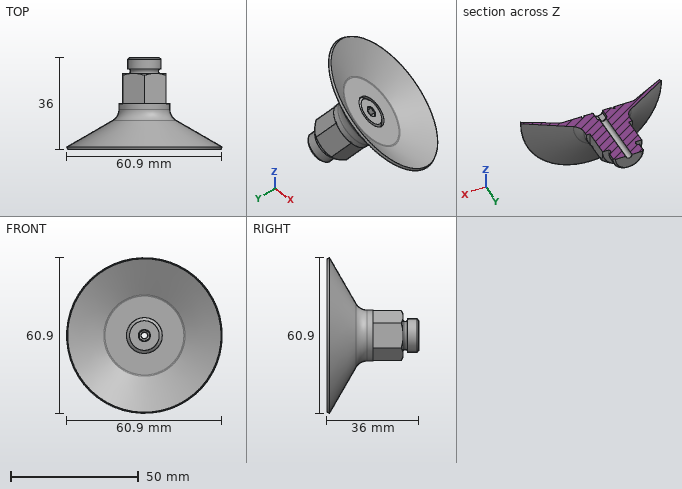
import cadquery as cq
import math

TOTAL_LENGTH = 36.0

CUP_RADIUS = 60.88 / 2
CUP_SLOPE = math.radians(30)
RIM_HEIGHT = 1.0
RIM_BEVEL = 0.45
FLOOR = 7.05
FLOOR_RADIUS = 15.9
RECESS_RADIUS = 15.43
RECESS_DEPTH = 0.1

COLLAR_RADIUS = 20.0 / 2
COLLAR_TOP = 18.0
BLEND_RADIUS = 5.0

HEX_FLATS = 17.0
HEX_TOP = 29.8
HEX_BEVEL_SLOPE = math.radians(30)

THREAD_RADIUS = 13.16 / 2
THREAD_CHAMFER = 0.8
UNDERCUT_RADIUS = 11.16 / 2
UNDERCUT_FILLET = 0.5
UNDERCUT_LENGTH = 1.8
UNDERCUT_BEVEL = 0.15

GROOVE_RADIUS = 14.0 / 2
GROOVE_DEPTH = 1.2

SOCKET_FLATS = 4.0
SOCKET_DEPTH = 4.0
SOCKET_MOUTH_RADIUS = 4.7 / 2
SOCKET_TIP_SLOPE = math.radians(30)
BORE_RADIUS = 2.5 / 2

CUP_TOP_RADIUS = COLLAR_RADIUS + BLEND_RADIUS * (1 - math.sin(CUP_SLOPE))
CUP_TOP = RIM_HEIGHT + (CUP_RADIUS - CUP_TOP_RADIUS) * math.tan(CUP_SLOPE)
BLEND_TOP = CUP_TOP + BLEND_RADIUS * math.cos(CUP_SLOPE)
LIP_RADIUS = CUP_RADIUS - RIM_BEVEL
CONE_TOP = FLOOR - RECESS_DEPTH


def revolve(profile):
    """Revolve an (radius, Y) profile about the Y axis."""
    return profile.close().revolve(360, (0, 0, 0), (0, 1, 0))


def hexagon(flats, start, length):
    """Hexagonal prism along +Y with corners pointing to +Z and -Z."""
    corners = flats / math.cos(math.pi / 6)
    plane = cq.Plane(origin=(0, start, 0), xDir=(0, 0, 1), normal=(0, 1, 0))
    return cq.Workplane(plane).polygon(6, corners).extrude(length)


def cup_and_collar():
    """Conical cup with a solid core, blended up into the collar."""
    half_turn = (math.pi / 2 - CUP_SLOPE) / 2
    blend_middle = (
        COLLAR_RADIUS + BLEND_RADIUS * (1 - math.cos(half_turn)),
        BLEND_TOP - BLEND_RADIUS * math.sin(half_turn),
    )
    return revolve(
        cq.Workplane("XY")
        .moveTo(0, FLOOR)
        .lineTo(RECESS_RADIUS, FLOOR)
        .lineTo(FLOOR_RADIUS, CONE_TOP)
        .lineTo(LIP_RADIUS, 0)
        .lineTo(CUP_RADIUS, RIM_HEIGHT)
        .lineTo(CUP_TOP_RADIUS, CUP_TOP)
        .threePointArc(blend_middle, (COLLAR_RADIUS, BLEND_TOP))
        .lineTo(COLLAR_RADIUS, COLLAR_TOP)
        .lineTo(0, COLLAR_TOP)
    )


def hex_body():
    """Hexagon whose top corners are bevelled by a cone touching its flats."""
    length = HEX_TOP - COLLAR_TOP
    top_radius = HEX_FLATS / 2
    outer_radius = HEX_FLATS
    bevel_drop = (outer_radius - top_radius) * math.tan(HEX_BEVEL_SLOPE)
    envelope = revolve(
        cq.Workplane("XY")
        .moveTo(0, COLLAR_TOP)
        .lineTo(outer_radius, COLLAR_TOP)
        .lineTo(outer_radius, HEX_TOP - bevel_drop)
        .lineTo(top_radius, HEX_TOP)
        .lineTo(0, HEX_TOP)
    )
    return hexagon(HEX_FLATS, COLLAR_TOP, length).intersect(envelope)


def threaded_end():
    """Plain thread cylinder with a chamfered end and a filleted undercut."""
    fillet_edge = UNDERCUT_RADIUS + UNDERCUT_FILLET
    middle_rise = UNDERCUT_FILLET * (1 - math.sqrt(0.5))
    fillet_middle = UNDERCUT_RADIUS + middle_rise
    shoulder = HEX_TOP + UNDERCUT_LENGTH
    upper_end = shoulder - UNDERCUT_BEVEL
    return revolve(
        cq.Workplane("XY")
        .moveTo(0, HEX_TOP)
        .lineTo(fillet_edge, HEX_TOP)
        .threePointArc(
            (fillet_middle, HEX_TOP + middle_rise),
            (UNDERCUT_RADIUS, HEX_TOP + UNDERCUT_FILLET),
        )
        .lineTo(UNDERCUT_RADIUS, upper_end - UNDERCUT_FILLET)
        .threePointArc((fillet_middle, upper_end - middle_rise), (fillet_edge, upper_end))
        .lineTo(THREAD_RADIUS, shoulder)
        .lineTo(THREAD_RADIUS, TOTAL_LENGTH - THREAD_CHAMFER)
        .lineTo(THREAD_RADIUS - THREAD_CHAMFER, TOTAL_LENGTH)
        .lineTo(0, TOTAL_LENGTH)
    )


def screw_groove():
    """Groove with a straight outer wall and a 45 degree inner wall."""
    return revolve(
        cq.Workplane("XY")
        .moveTo(GROOVE_RADIUS - GROOVE_DEPTH, FLOOR)
        .lineTo(GROOVE_RADIUS, FLOOR)
        .lineTo(GROOVE_RADIUS, FLOOR + GROOVE_DEPTH)
    )


def socket_and_bore():
    """Hexagonal socket with a chamfered mouth and conical bottom, plus the bore."""
    tip_height = SOCKET_MOUTH_RADIUS * math.tan(SOCKET_TIP_SLOPE)
    pointed = revolve(
        cq.Workplane("XY")
        .moveTo(0, FLOOR)
        .lineTo(SOCKET_MOUTH_RADIUS, FLOOR)
        .lineTo(SOCKET_MOUTH_RADIUS, FLOOR + SOCKET_DEPTH)
        .lineTo(0, FLOOR + SOCKET_DEPTH + tip_height)
    )
    socket = hexagon(SOCKET_FLATS, FLOOR, SOCKET_DEPTH + tip_height).intersect(pointed)
    mouth = revolve(
        cq.Workplane("XY")
        .moveTo(0, FLOOR)
        .lineTo(SOCKET_MOUTH_RADIUS, FLOOR)
        .lineTo(0, FLOOR + SOCKET_MOUTH_RADIUS)
    )
    bore = revolve(
        cq.Workplane("XY")
        .moveTo(0, FLOOR)
        .lineTo(BORE_RADIUS, FLOOR)
        .lineTo(BORE_RADIUS, TOTAL_LENGTH)
        .lineTo(0, TOTAL_LENGTH)
    )
    return socket.union(mouth).union(bore)


body = cup_and_collar().union(hex_body()).union(threaded_end())
result = body.cut(screw_groove()).cut(socket_and_bore())